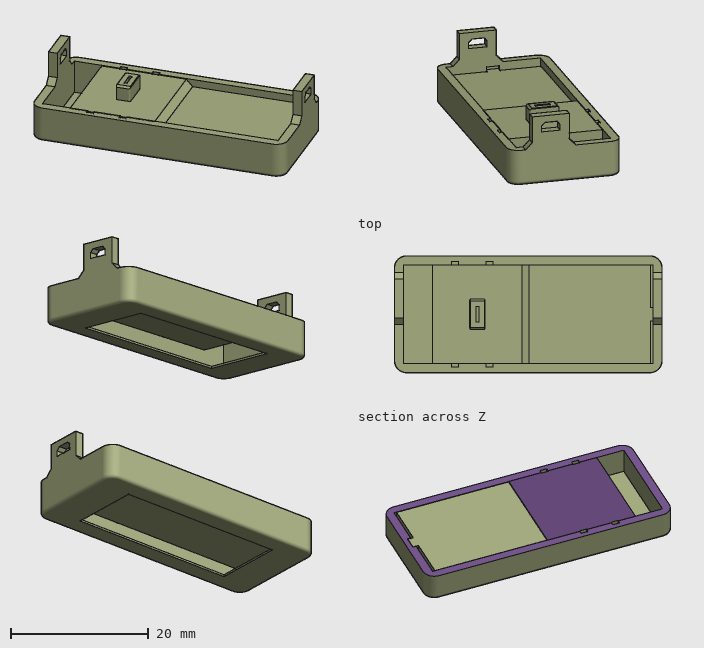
import cadquery as cq

LENGTH = 38.9
WIDTH = 17.0
RIM_Z = 5.4
WALL = 1.35
FLOOR = 0.3
CORNER_RADIUS = 1.8
BOTTOM_FILLET = 0.5
CAVITY_LENGTH = LENGTH - 2 * WALL
CAVITY_WIDTH = WIDTH - 2 * WALL

WINDOW_LENGTH = 27.23
WINDOW_WIDTH = 10.95

LUG_TOP_Z = 10.4
LUG_WIDTH = 5.6
LUG_CENTRE_Y = 2.3
LUG_FLARE = 1.0
EYE_WIDTH = 2.8
EYE_HEIGHT = 1.4
EYE_BOTTOM_Z = 7.95
EYE_CHAMFER = 0.5

NOTCH_LENGTH = 1.0
NOTCH_DEPTH = 0.5
NOTCH_CENTRES_X = (-10.62, -5.65)

SLIDE_BOTTOM_Z = 3.2
BLOCK_TOP_Z = 5.3
PLATE_TOP_Z = 4.25
SLIDE_LEFT_X = -13.9
RAMP_TOP_X = -0.9
RAMP_BOTTOM_X = 0.08
SLIDE_RIGHT_X = 17.75

TONGUE_WIDTH = 1.95
SOCKET_DEPTH = 0.5
SOCKET_TOP_Z = 4.82
SOCKET_END_X = CAVITY_LENGTH / 2 + SOCKET_DEPTH

KNOB_X = -7.4
KNOB_LENGTH = 2.2
KNOB_WIDTH = 4.47
KNOB_TOP_Z = 7.62
KNOB_EDGE_RADIUS = 0.27
KNOB_END_CHAMFER = 0.3
KNOB_SIDE_CHAMFER = 0.097
KNOB_SLOT_LENGTH = 0.43
KNOB_SLOT_WIDTH = 2.25
KNOB_SLOT_DEPTH = 1.0


def box(x_min, x_max, y_min, y_max, z_min, z_max):
    """Box between the given limits."""
    size = (x_max - x_min, y_max - y_min, z_max - z_min)
    return cq.Workplane("XY").box(*size, centered=False).translate((x_min, y_min, z_min))


def centred_box(length, width, z_min, z_max, x=0.0, y=0.0):
    """Box centred on (x, y) in plan."""
    return box(x - length / 2, x + length / 2, y - width / 2, y + width / 2, z_min, z_max)


def make_tray():
    outer = centred_box(LENGTH, WIDTH, 0, RIM_Z)
    outer = outer.edges("|Z").fillet(CORNER_RADIUS).faces("<Z").edges().fillet(BOTTOM_FILLET)
    cavity = centred_box(CAVITY_LENGTH, CAVITY_WIDTH, FLOOR, RIM_Z)
    window = centred_box(WINDOW_LENGTH, WINDOW_WIDTH, 0, FLOOR)
    return outer.cut(cavity).cut(window)


def make_lug(x_min):
    """Flared lug, one wall thick, with an eye whose upper corners are chamfered."""
    half_width = LUG_WIDTH / 2
    half_foot = half_width + LUG_FLARE
    outline = [
        (-half_foot, RIM_Z),
        (half_foot, RIM_Z),
        (half_width, RIM_Z + LUG_FLARE),
        (half_width, LUG_TOP_Z),
        (-half_width, LUG_TOP_Z),
        (-half_width, RIM_Z + LUG_FLARE),
    ]
    lug = cq.Workplane("YZ").polyline(outline).close().extrude(WALL)
    eye = centred_box(WALL, EYE_WIDTH, EYE_BOTTOM_Z, EYE_BOTTOM_Z + EYE_HEIGHT, x=WALL / 2)
    eye = eye.faces(">Z").edges("|X").chamfer(EYE_CHAMFER)
    return lug.cut(eye).translate((x_min, LUG_CENTRE_Y, 0))


def make_housing():
    housing = make_tray()
    for x_min in (-LENGTH / 2, LENGTH / 2 - WALL):
        housing = housing.union(make_lug(x_min))
    for x in NOTCH_CENTRES_X:
        notch_pair = centred_box(NOTCH_LENGTH, CAVITY_WIDTH + 2 * NOTCH_DEPTH, SLIDE_BOTTOM_Z, RIM_Z, x=x)
        housing = housing.cut(notch_pair)
    socket = box(0, SOCKET_END_X, -TONGUE_WIDTH / 2, TONGUE_WIDTH / 2, SLIDE_BOTTOM_Z, SOCKET_TOP_Z)
    return housing.cut(socket)


def extruded_roof(plane, half_span, chamfer, depth):
    """Knob profile with both top corners chamfered, extruded to both sides of the plane."""
    outline = [
        (-half_span, BLOCK_TOP_Z),
        (half_span, BLOCK_TOP_Z),
        (half_span, KNOB_TOP_Z - chamfer),
        (half_span - chamfer, KNOB_TOP_Z),
        (-half_span + chamfer, KNOB_TOP_Z),
        (-half_span, KNOB_TOP_Z - chamfer),
    ]
    return cq.Workplane(plane).polyline(outline).close().extrude(depth / 2, both=True)


def make_knob():
    knob = centred_box(KNOB_LENGTH, KNOB_WIDTH, BLOCK_TOP_Z, KNOB_TOP_Z)
    knob = knob.edges("|Z").fillet(KNOB_EDGE_RADIUS)
    knob = knob.intersect(extruded_roof("YZ", KNOB_WIDTH / 2, KNOB_END_CHAMFER, KNOB_LENGTH))
    knob = knob.intersect(extruded_roof("XZ", KNOB_LENGTH / 2, KNOB_SIDE_CHAMFER, KNOB_WIDTH))
    slot = centred_box(KNOB_SLOT_LENGTH, KNOB_SLOT_WIDTH, KNOB_TOP_Z - KNOB_SLOT_DEPTH, KNOB_TOP_Z)
    return knob.cut(slot).translate((KNOB_X, 0, 0))


def make_slide():
    side_outline = [
        (SLIDE_LEFT_X, SLIDE_BOTTOM_Z),
        (SLIDE_RIGHT_X, SLIDE_BOTTOM_Z),
        (SLIDE_RIGHT_X, PLATE_TOP_Z),
        (RAMP_BOTTOM_X, PLATE_TOP_Z),
        (RAMP_TOP_X, BLOCK_TOP_Z),
        (SLIDE_LEFT_X, BLOCK_TOP_Z),
    ]
    slide = cq.Workplane("XZ").polyline(side_outline).close().extrude(CAVITY_WIDTH / 2, both=True)
    tongue = box(
        SLIDE_RIGHT_X, SOCKET_END_X, -TONGUE_WIDTH / 2, TONGUE_WIDTH / 2, SLIDE_BOTTOM_Z, PLATE_TOP_Z
    )
    return slide.union(tongue).union(make_knob())


housing = make_housing()
slide = make_slide()
result = cq.Compound.makeCompound([housing.val(), slide.val()])